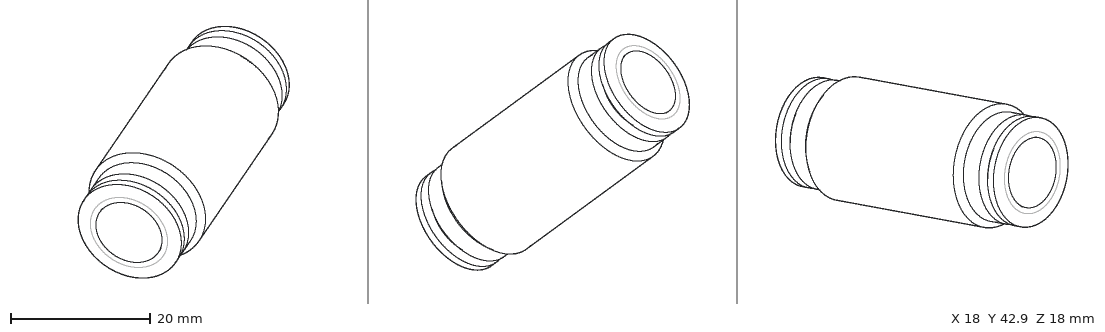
import cadquery as cq

length = 42.9
half_length = length / 2

body_radius = 9.0
collar_radius = 8.0
neck_radius = 6.0
face_radius = 5.95
socket_radius = 5.1
stop_bore_radius = 4.15

face_cone_depth = 0.3
flange_depth = 1.45
groove_width = 1.67
collar_length = 3.0
body_chamfer = body_radius - collar_radius
stop_thickness = 1.05

flange_edge_y = half_length - face_cone_depth
flange_back_y = half_length - flange_depth
collar_end_y = flange_back_y - groove_width
body_end_y = collar_end_y - collar_length
chamfer_start_y = body_end_y - body_chamfer
stop_face_y = stop_thickness / 2


outer_half = [
    (body_radius, chamfer_start_y),
    (collar_radius, body_end_y),
    (collar_radius, collar_end_y),
    (neck_radius, collar_end_y),
    (neck_radius, flange_back_y),
    (collar_radius, flange_back_y),
    (collar_radius, flange_edge_y),
    (face_radius, half_length),
]
bore_half = [
    (stop_bore_radius, stop_face_y),
    (socket_radius, stop_face_y),
    (socket_radius, half_length),
]


def full_outline(half_outline):
    """Extend a half outline across the mid plane, running from -Y to +Y."""
    mirrored = [(radius, -y) for radius, y in reversed(half_outline)]
    return mirrored + half_outline


profile = full_outline(outer_half) + full_outline(bore_half)[::-1]
result = cq.Workplane("XY").polyline(profile).close().revolve(360, (0, 0, 0), (0, 1, 0))